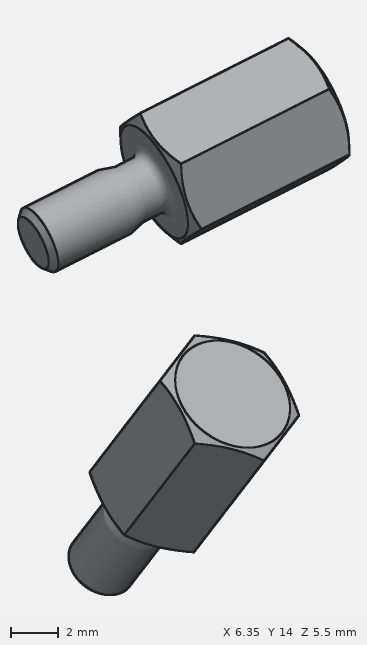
import cadquery as cq
import math

total_length = 14.0
hex_length = 8.0
across_flats = 5.5
across_corners = across_flats / math.cos(math.radians(30))

end_face_diameter = 5.25
corner_angle = 30.0

neck_diameter = 2.6
stud_diameter = 3.0
root_fillet = 0.4
runout_blend_radius = 0.4
undercut_length = 2.0
runout_angle = 15.0
tip_chamfer = 0.3

hex_radius = across_corners / 2
face_radius = end_face_diameter / 2
neck_radius = neck_diameter / 2
stud_radius = stud_diameter / 2

back_y = total_length / 2
tip_y = -total_length / 2
shoulder_y = back_y - hex_length


def revolve_about_y(profile):
    return profile.close().revolve(360, (0, 0, 0), (0, 1, 0))


def hex_body():
    """Hexagonal bar with its corners trimmed by a cone at each end."""
    bar = (
        cq.Workplane("XZ", origin=(0, back_y, 0))
        .polygon(6, across_corners)
        .extrude(hex_length)
    )
    trim_depth = (hex_radius - face_radius) * math.tan(math.radians(corner_angle))
    envelope = revolve_about_y(
        cq.Workplane("XY")
        .moveTo(0, shoulder_y)
        .lineTo(face_radius, shoulder_y)
        .lineTo(hex_radius, shoulder_y + trim_depth)
        .lineTo(hex_radius, back_y - trim_depth)
        .lineTo(face_radius, back_y)
        .lineTo(0, back_y)
    )
    return bar.intersect(envelope)


def stud():
    """Stud with a filleted root, undercut neck, blended runout cone and chamfered tip."""
    slope = math.radians(runout_angle)
    full_y = shoulder_y - undercut_length
    runout_y = full_y + (stud_radius - neck_radius) / math.tan(slope)

    blend_start_y = runout_y + runout_blend_radius * math.tan(slope / 2)

    def blend_point(angle):
        return (
            neck_radius + runout_blend_radius * (1 - math.cos(angle)),
            blend_start_y - runout_blend_radius * math.sin(angle),
        )

    arc_offset = root_fillet * (1 - math.sqrt(0.5))
    embed_y = shoulder_y + root_fillet
    return revolve_about_y(
        cq.Workplane("XY")
        .moveTo(0, tip_y)
        .lineTo(stud_radius - tip_chamfer, tip_y)
        .lineTo(stud_radius, tip_y + tip_chamfer)
        .lineTo(stud_radius, full_y)
        .lineTo(*blend_point(slope))
        .threePointArc(blend_point(slope / 2), (neck_radius, blend_start_y))
        .lineTo(neck_radius, shoulder_y - root_fillet)
        .threePointArc(
            (neck_radius + arc_offset, shoulder_y - arc_offset),
            (neck_radius + root_fillet, shoulder_y),
        )
        .lineTo(neck_radius + root_fillet, embed_y)
        .lineTo(0, embed_y)
    )


result = hex_body().union(stud())